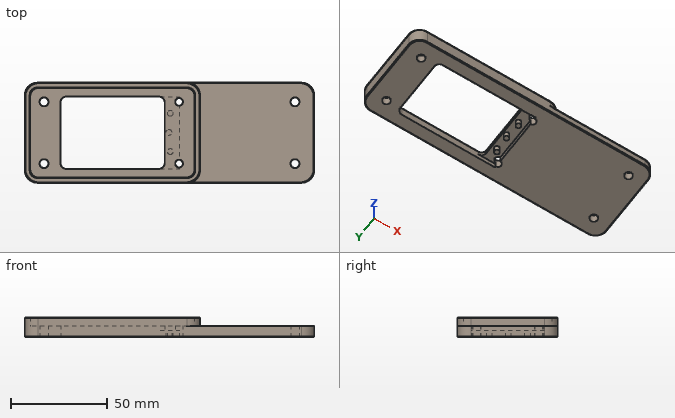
import cadquery as cq

LENGTH = 150.2
WIDTH = 52.1
HEIGHT = 10.2
CORNER_RADIUS = 6.9
EDGE_CHAMFER = 0.5

PLATE_THICKNESS = 6.0
FRAME_LENGTH = 91.0

RIM = 3.0
POCKET_FLOOR = PLATE_THICKNESS
POCKET_CHAMFER = EDGE_CHAMFER
POCKET_RADIUS = CORNER_RADIUS - RIM

WINDOW_START = 18.6
WINDOW_LENGTH = 53.9
WINDOW_WIDTH = 37.4
WINDOW_RADIUS = 3.0
WINDOW_END = WINDOW_START + WINDOW_LENGTH

HOLE_INSET = 10.0
HOLE_Y = WIDTH / 2 - HOLE_INSET
HOLE_DIAMETER = 4.5
SMALL_HOLE_X = 80.0
SMALL_HOLE_DIAMETER = 3.9

RECESS_CEILING = 3.5
RECESS_LENGTH = 7.5
POST_DIAMETER = 3.0
POST_SPACING = 9.9
POST_ROW_Y = 0.3
OUTER_POST_X = WINDOW_END + 2.9
MIDDLE_POST_X = WINDOW_END + 2.1


def rounded_block(start_x, length, width, bottom, top, radius):
    """Block centred on the X axis with rounded vertical edges."""
    return (
        cq.Workplane("XY")
        .box(length, width, top - bottom, centered=(False, True, False))
        .translate((start_x, 0, bottom))
        .edges("|Z")
        .fillet(radius)
    )


def hole_pair(x, diameter):
    """Two vertical through cutters at the same X, mirrored about the X axis."""
    return (
        cq.Workplane("XY")
        .pushPoints([(x, HOLE_Y), (x, -HOLE_Y)])
        .circle(diameter / 2)
        .extrude(HEIGHT)
    )


def posts():
    """Round posts filling the height of the recess."""
    centres = [
        (OUTER_POST_X, POST_ROW_Y - POST_SPACING),
        (MIDDLE_POST_X, POST_ROW_Y),
        (OUTER_POST_X, POST_ROW_Y + POST_SPACING),
    ]
    return cq.Workplane("XY").pushPoints(centres).circle(POST_DIAMETER / 2).extrude(RECESS_CEILING)


def recess_cutter():
    """Underside recess from inside the window to past its +X edge, leaving the posts."""
    return (
        cq.Workplane("XY", origin=(WINDOW_END - WINDOW_RADIUS, 0, 0))
        .box(
            WINDOW_RADIUS + RECESS_LENGTH,
            WINDOW_WIDTH,
            RECESS_CEILING,
            centered=(False, True, False),
        )
        .cut(posts())
    )


def pocket_cutter():
    """Pocket inside the rim, flaring out at 45 degrees around its mouth."""
    straight_top = HEIGHT - POCKET_CHAMFER
    straight = rounded_block(
        RIM, FRAME_LENGTH - 2 * RIM, WIDTH - 2 * RIM, POCKET_FLOOR, straight_top, POCKET_RADIUS
    )
    mouth = (
        straight.faces(">Z")
        .wires()
        .toPending()
        .extrude(POCKET_CHAMFER, taper=-45, combine=False)
    )
    return straight.union(mouth)


plate = rounded_block(0, LENGTH, WIDTH, 0, PLATE_THICKNESS, CORNER_RADIUS)
plate = plate.faces("<Z or >Z").chamfer(EDGE_CHAMFER)

frame = rounded_block(0, FRAME_LENGTH, WIDTH, 0, HEIGHT, CORNER_RADIUS)
frame = frame.faces("<Z or >Z").chamfer(EDGE_CHAMFER)

window = rounded_block(
    WINDOW_START, WINDOW_LENGTH, WINDOW_WIDTH, 0, HEIGHT, WINDOW_RADIUS
)

result = (
    plate.union(frame)
    .cut(pocket_cutter())
    .cut(window)
    .cut(recess_cutter())
    .cut(hole_pair(HOLE_INSET, HOLE_DIAMETER))
    .cut(hole_pair(SMALL_HOLE_X, SMALL_HOLE_DIAMETER))
    .cut(hole_pair(LENGTH - HOLE_INSET, HOLE_DIAMETER))
)